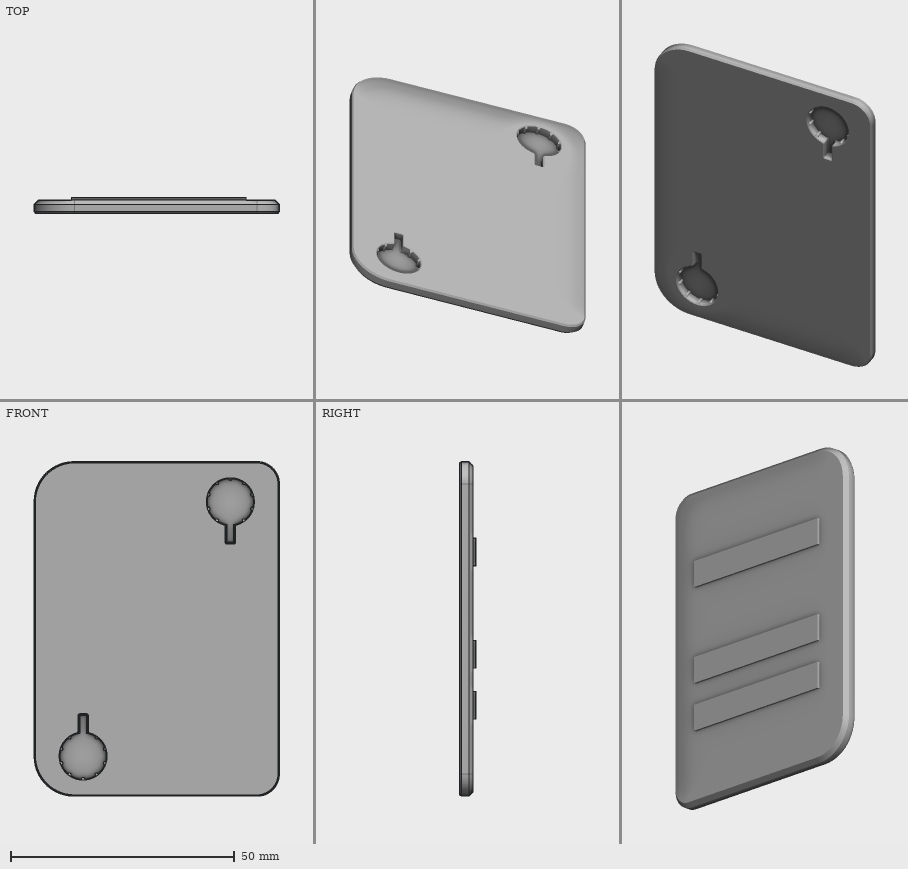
import cadquery as cq

HEIGHT = 75.0
WIDTH = 55.0
THICKNESS = 3.0
LEFT_CORNER_RADIUS = 9.0
RIGHT_CORNER_RADIUS = 5.0
FRONT_CHAMFER_INSET = 0.3
FRONT_CHAMFER_DEPTH = 0.45
BACK_CHAMFER = 1.0

POCKET_DEPTH = 2.0
POCKET_RADIUS = 5.2
SLOT_WIDTH = 1.95
SLOT_REACH = 9.3
SLOT_END_FILLET = 0.3
THROAT_FILLET = 0.5
RIM_CHAMFER = 0.2
SLOT_FLOOR_CHAMFER = 0.2
POCKET_X = 16.5
POCKET_Z = 28.5

RIB_SPACES = 10
RIB_RADIUS = 0.4

STRIP_HEIGHT = 0.6
STRIP_LENGTH = 39.15
STRIP_WIDTH = 6.2
STRIP_CENTER_X = 0.45
STRIP_LEVELS = [17.25, -5.7, -17.1]


def plane_at(depth):
    """Work plane parallel to the front face, with X to the right and Z up."""
    return cq.Workplane("XZ", origin=(0, depth, 0))


def make_plate():
    plate = (
        plane_at(0)
        .rect(WIDTH, HEIGHT)
        .extrude(-THICKNESS)
        .edges("|Y and <X")
        .fillet(LEFT_CORNER_RADIUS)
        .edges("|Y and >X")
        .fillet(RIGHT_CORNER_RADIUS)
    )
    plate = plate.faces(">Y").chamfer(BACK_CHAMFER)
    return plate.faces("<Y").chamfer(FRONT_CHAMFER_DEPTH, FRONT_CHAMFER_INSET)


def make_keyhole():
    """Straight-walled keyhole with its slot pointing up and a small chamfer around the slot floor."""
    disc = plane_at(0).circle(POCKET_RADIUS).extrude(-POCKET_DEPTH)
    slot = (
        plane_at(0)
        .center(0, SLOT_REACH / 2)
        .rect(SLOT_WIDTH, SLOT_REACH)
        .extrude(-POCKET_DEPTH)
        .edges("|Y and >Z")
        .fillet(SLOT_END_FILLET)
        .faces(">Y")
        .chamfer(SLOT_FLOOR_CHAMFER)
    )
    throat_corners = cq.selectors.BoxSelector(
        (-SLOT_WIDTH, -0.75, 0), (SLOT_WIDTH, THICKNESS, POCKET_RADIUS)
    )
    return disc.union(slot).edges("|Y").edges(throat_corners).fillet(THROAT_FILLET)


def make_ribs():
    step = 360 / RIB_SPACES
    return (
        plane_at(0)
        .polarArray(POCKET_RADIUS, 90 + step, 360 - 2 * step, RIB_SPACES - 1)
        .circle(RIB_RADIUS)
        .extrude(-POCKET_DEPTH)
    )


def make_mouth(keyhole):
    """Flare that chamfers the keyhole mouth; it runs deep enough to bevel the rib tops as well."""
    outline = keyhole.faces("<Y").wires().val().offset2D(RIM_CHAMFER)
    return plane_at(0).add(outline).toPending().extrude(-(RIM_CHAMFER + RIB_RADIUS), taper=45)


def make_pocket():
    """Cutter for one pocket, slot pointing up, centred on the disc."""
    keyhole = make_keyhole()
    return keyhole.cut(make_ribs()).union(make_mouth(keyhole))


def make_strip(level):
    strip = plane_at(THICKNESS).center(STRIP_CENTER_X, level).rect(STRIP_LENGTH, STRIP_WIDTH)
    return strip.extrude(-STRIP_HEIGHT)


pocket = make_pocket()
lower_pocket = pocket.translate((-POCKET_X, 0, -POCKET_Z))
upper_pocket = pocket.rotate((0, 0, 0), (0, 1, 0), 180).translate((POCKET_X, 0, POCKET_Z))

plate = make_plate().cut(lower_pocket).cut(upper_pocket)
for level in STRIP_LEVELS:
    plate = plate.union(make_strip(level))

result = cq.Compound.makeCompound([plate.val()])